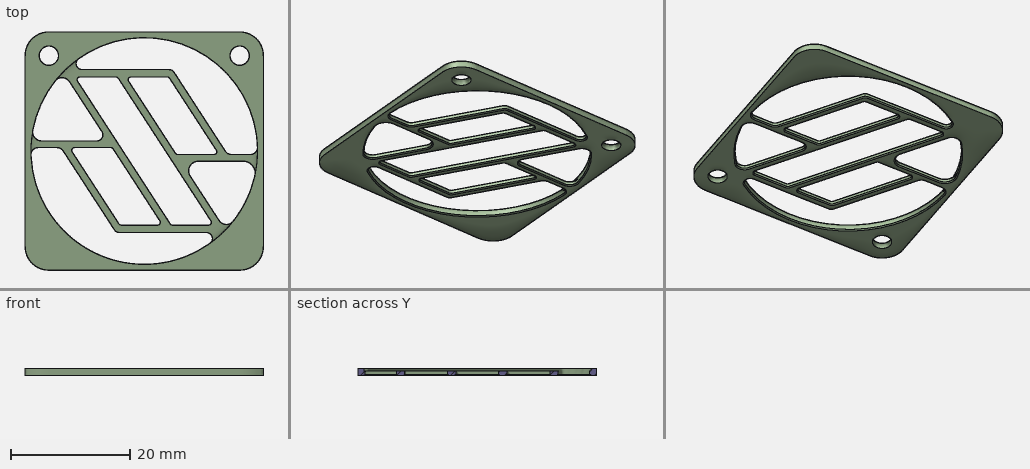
import cadquery as cq
import math

side = 40
thickness = 1.2
corner_radius = 4
opening_diameter = 38
hole_diameter = 3.2
hole_offset = 16

grille_thickness = 0.8
underside_chamfer = 0.2
bar_angle = 57
slant = 1 / math.tan(math.radians(bar_angle))

grille_half_height = 13.7
window_half_height = 12.4
middle_bar_near = 0.55
middle_bar_far = 1.7

inner_bar_near = 3.55
inner_bar_far = 5.0
outer_bar_near = 12.15
outer_bar_far = 13.6

window_radius = 0.45
pocket_rim_radius = 1.2
pocket_tip_radius = 1.0
pocket_upper_bend_radius = 1.2
pocket_lower_bend_radius = 1.0
left_wedge_radii = {"<X": 1.5, ">X": 1.0, ">Y": 1.5}
right_wedge_radii = {"<X": 2, ">X": 1.6, ">Y": 1.5}

beyond = side


def disc(height):
    """Cylinder that fills the round opening from the underside up to the given height."""
    return cq.Workplane("XY").circle(opening_diameter / 2).extrude(height)


def prism(points):
    """Grille-thick block with the given outline."""
    return cq.Workplane("XY").polyline(points).close().extrude(grille_thickness)


def on_diagonal(offset, y):
    """Point at height y on the diagonal that crosses Y = 0 at X = offset."""
    return (offset - slant * y, y)


def at_point(point):
    """Selector for the upright edge through a point of an outline."""
    return cq.NearestToPointSelector((*point, grille_thickness / 2))


def half_turn(body):
    return body.rotate((0, 0, 0), (0, 0, 1), 180)


def make_plate():
    plate = cq.Workplane("XY").rect(side, side).extrude(thickness)
    plate = plate.edges("|Z").fillet(corner_radius)
    return plate.cut(disc(thickness))


def make_window(left, right, bottom, top):
    """Rounded parallelogram between two diagonals and two level edges."""
    outline = [
        on_diagonal(left, bottom),
        on_diagonal(right, bottom),
        on_diagonal(right, top),
        on_diagonal(left, top),
    ]
    return prism(outline).edges("|Z").fillet(window_radius)


def round_corners(body, radii):
    """Round upright edges one at a time; radii maps an edge selector to a radius."""
    for corner, radius in radii.items():
        body = body.edges("|Z").edges(corner).fillet(radius)
    return body


def make_wedge(corner_radii):
    """Three-sided opening at the left, above the level bar and beside the inner diagonal bar."""
    outline = [
        on_diagonal(-inner_bar_far, middle_bar_far),
        on_diagonal(-inner_bar_far, beyond),
        (-beyond, beyond),
        (-beyond, middle_bar_far),
    ]
    wedge = prism(outline).intersect(disc(grille_thickness))
    return round_corners(wedge, corner_radii)


def make_outer_pocket():
    """Opening at the lower left, between the grille outline and the rim."""
    upper_bend = on_diagonal(-outer_bar_far, middle_bar_near)
    lower_bend = on_diagonal(-outer_bar_far, -grille_half_height)
    outline = [
        (-beyond, middle_bar_near),
        upper_bend,
        lower_bend,
        (beyond, -grille_half_height),
        (beyond, -beyond),
        (-beyond, -beyond),
    ]
    pocket = prism(outline).intersect(disc(grille_thickness))
    corner_radii = {
        "<X": pocket_rim_radius,
        ">X": pocket_tip_radius,
        at_point(upper_bend): pocket_upper_bend_radius,
        at_point(lower_bend): pocket_lower_bend_radius,
    }
    return round_corners(pocket, corner_radii)


def make_grille():
    centre_window = make_window(-inner_bar_near, inner_bar_near, -window_half_height, window_half_height)
    side_window = make_window(-outer_bar_near, -inner_bar_far, -window_half_height, middle_bar_near)
    outer_pocket = make_outer_pocket()
    openings = [
        centre_window,
        side_window,
        half_turn(side_window),
        outer_pocket,
        half_turn(outer_pocket),
        make_wedge(left_wedge_radii),
        half_turn(make_wedge(right_wedge_radii)),
    ]
    grille = disc(grille_thickness)
    for opening in openings:
        grille = grille.cut(opening)
    return grille


def chamfer_underside(body):
    """Bevel the bottom rim of every opening, leaving the outer outline sharp."""
    underside = body.faces("<Z").val()
    rims = [edge for wire in underside.innerWires() for edge in wire.Edges()]
    return body.newObject(rims).chamfer(underside_chamfer)


def drill_mounting_holes(body):
    hole_centres = [(-hole_offset, hole_offset), (hole_offset, hole_offset)]
    return body.faces(">Z").workplane(origin=(0, 0, 0)).pushPoints(hole_centres).hole(hole_diameter)


result = drill_mounting_holes(chamfer_underside(make_plate().union(make_grille())))